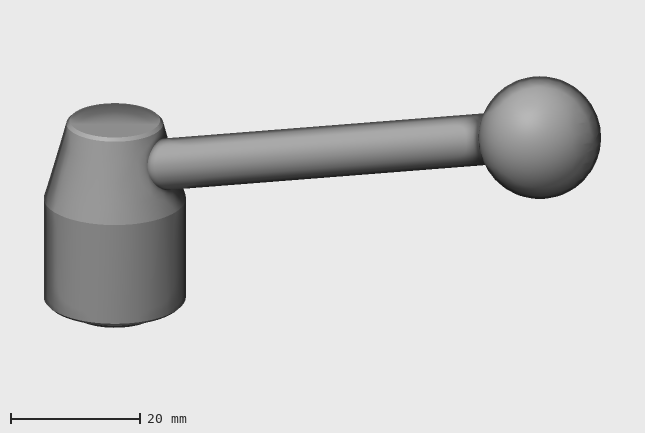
import cadquery as cq
import math

FOOT_DIAMETER = 14.0
FOOT_HEIGHT = 2.0
HUB_DIAMETER = 22.0
SHOULDER_HEIGHT = 19.0
HUB_HEIGHT = 32.0
TOP_DIAMETER = 15.0
EDGE_CHAMFER = 0.5

ARM_DIAMETER = 8.0
ARM_ANGLE = 15.0
ARM_START_HEIGHT = 24.0
BALL_DIAMETER = 19.0
BALL_REACH = 74.5
BALL_HEIGHT = 43.5


def make_hub():
    """Revolve the hub: foot, cylinder, cone and chamfered edges."""
    foot_radius = FOOT_DIAMETER / 2
    hub_radius = HUB_DIAMETER / 2
    top_radius = TOP_DIAMETER / 2
    profile = [
        (0, 0),
        (foot_radius - EDGE_CHAMFER, 0),
        (foot_radius, EDGE_CHAMFER),
        (foot_radius, FOOT_HEIGHT),
        (hub_radius - EDGE_CHAMFER, FOOT_HEIGHT),
        (hub_radius, FOOT_HEIGHT + EDGE_CHAMFER),
        (hub_radius, SHOULDER_HEIGHT),
        (top_radius, HUB_HEIGHT - EDGE_CHAMFER),
        (top_radius - EDGE_CHAMFER, HUB_HEIGHT),
        (0, HUB_HEIGHT),
    ]
    return cq.Workplane("XZ").polyline(profile).close().revolve(360, (0, 0), (0, 1))


def make_arm():
    """Straight round bar from the hub axis, ending inside the ball."""
    angle = math.radians(ARM_ANGLE)
    length = BALL_REACH / math.cos(angle)
    direction = cq.Vector(math.cos(angle), 0, math.sin(angle))
    start_plane = cq.Plane(origin=(0, 0, ARM_START_HEIGHT), xDir=(0, 1, 0), normal=direction)
    return cq.Workplane(start_plane).circle(ARM_DIAMETER / 2).extrude(length)


def make_ball():
    """Ball knob at the end of the arm."""
    ball = cq.Workplane("XY").sphere(BALL_DIAMETER / 2)
    return ball.translate((BALL_REACH, 0, BALL_HEIGHT))


result = make_hub().union(make_arm()).union(make_ball())